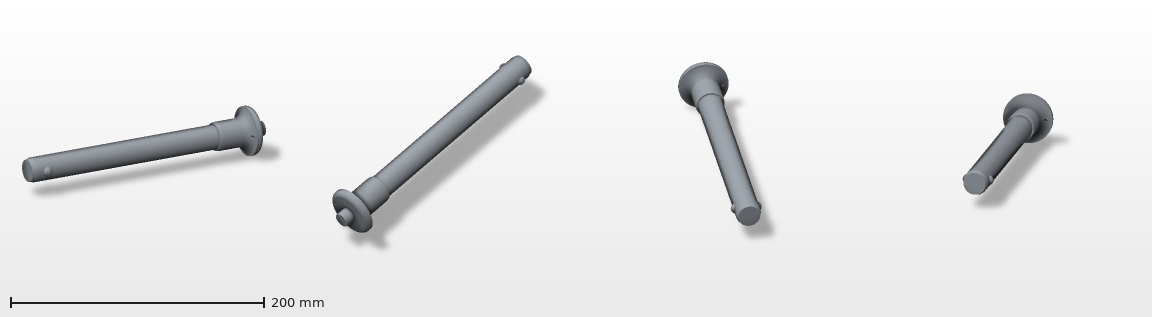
import cadquery as cq
import math


shank_radius = 10.0
ball_to_shoulder = 153.5
tip_chamfer_length = 4.0
tip_chamfer_angle = math.radians(15)

ball_radius = 4.0
ball_protrusion = 2.4
ball_to_tip = 13.1

collar_radius = 11.7
collar_taper_radius = 11.6
collar_taper_length = 1.8
collar_rim_radius = 11.2
collar_rim_length = 1.9
collar_length = 20.3

flange_radius = 20.0
flange_rim_length = 3.2
flange_round_size = 3.1
flange_round_radius = 4.0
button_radius = 6.0
button_length = 8.6

lanyard_hole_diameter = 3.0
lanyard_hole_offset = 15.0

ball_y = -ball_to_shoulder
tip_y = ball_y - ball_to_tip
tip_radius = shank_radius - tip_chamfer_length * math.tan(tip_chamfer_angle)
flare_radius = flange_radius - collar_radius
flange_bottom_y = collar_length + flare_radius
flange_rim_top_y = flange_bottom_y + flange_rim_length
flange_top_y = flange_rim_top_y + flange_round_size
button_top_y = flange_top_y + button_length


def make_pin_body():
    """Shank, collar, flared flange and button, revolved about Y."""
    return (
        cq.Workplane("XY")
        .moveTo(0, tip_y)
        .lineTo(tip_radius, tip_y)
        .lineTo(shank_radius, tip_y + tip_chamfer_length)
        .lineTo(shank_radius, 0)
        .lineTo(collar_rim_radius, 0)
        .lineTo(collar_taper_radius, collar_rim_length)
        .lineTo(collar_radius, collar_rim_length + collar_taper_length)
        .lineTo(collar_radius, collar_length)
        .radiusArc((flange_radius, flange_bottom_y), flare_radius)
        .lineTo(flange_radius, flange_rim_top_y)
        .radiusArc((flange_radius - flange_round_size, flange_top_y), -flange_round_radius)
        .lineTo(button_radius, flange_top_y)
        .lineTo(button_radius, button_top_y)
        .lineTo(0, button_top_y)
        .close()
        .revolve(360, (0, 0, 0), (0, 1, 0))
    )


def make_locking_ball(side):
    """Ball standing partly out of the shank on the +X (side = 1) or -X (side = -1) side."""
    ball_x = side * (shank_radius + ball_protrusion - ball_radius)
    return cq.Workplane("XY").sphere(ball_radius).translate((ball_x, ball_y, 0))


def make_lanyard_hole():
    """Cylinder parallel to Y that cuts right through the flange and its flare."""
    return (
        cq.Workplane("XZ", origin=(lanyard_hole_offset, flange_top_y, 0))
        .circle(lanyard_hole_diameter / 2)
        .extrude(flange_top_y)
    )


result = make_pin_body()
for ball_side in (-1, 1):
    result = result.union(make_locking_ball(ball_side))
result = result.cut(make_lanyard_hole())